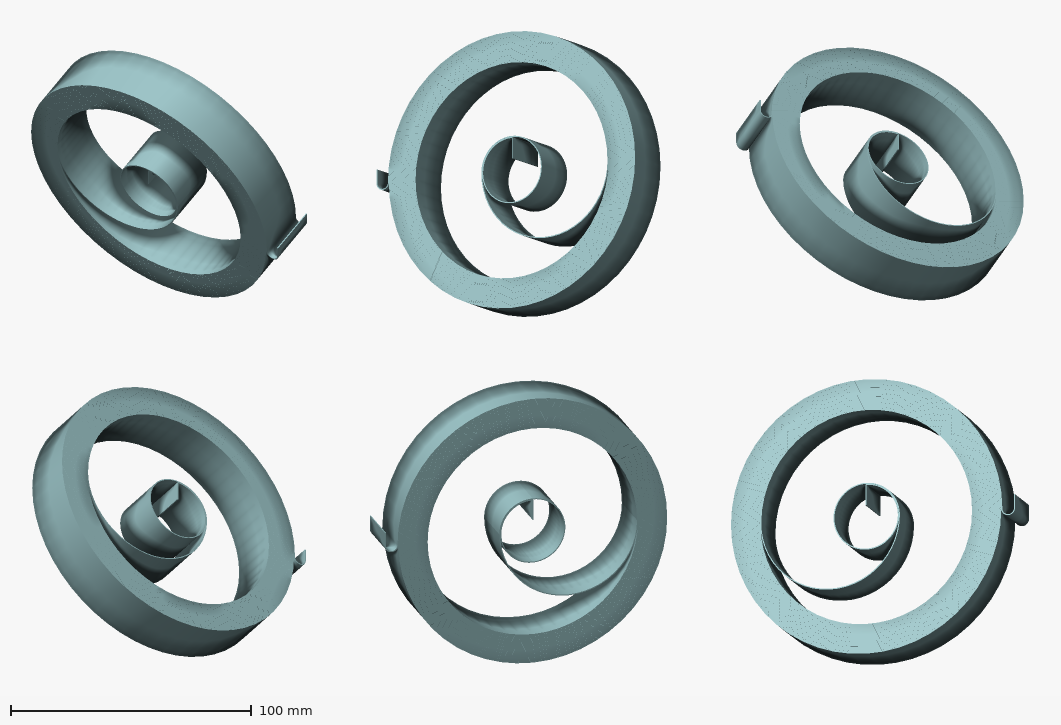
import cadquery as cq
import math

strip_width = 22.0
coil_outer_radius = 58.4
coil_inner_radius = 45.3
coil_layers = 29
layer_gap = 0.006
pitch = (coil_outer_radius - coil_inner_radius) / coil_layers
thickness = pitch - layer_gap

eye_radius = 14.5
tab_length = 9.1
total_length = 122.5
hook_straight = 5.9

LEFT, UP, RIGHT, DOWN = 180, 90, 0, -90


def arc(center_x, center_z, radius, start_angle, sweep):
    """Strip section bent around a centre; radius is that of the strip's middle line, angles in degrees."""
    return center_x, center_z, radius, start_angle, sweep


def half_turn(from_x, to_x, start_angle, sweep):
    """Half circle between two places on the X axis."""
    return arc((from_x + to_x) / 2, 0, abs(to_x - from_x) / 2, start_angle, sweep)


eye_middle = eye_radius - thickness / 2
first_eye_middle = eye_middle - pitch
sections = [
    arc(0, 0, first_eye_middle, UP, -180),
    arc(0, pitch / 2, first_eye_middle + pitch / 2, DOWN, -180),
    arc(0, 0, eye_middle, UP, -90),
]

coil_start = coil_inner_radius + thickness / 2
sections.append(half_turn(eye_middle, -coil_start, RIGHT, -180))

half_turns = 2 * coil_layers - 1
for i in range(half_turns):
    side = -1 if i % 2 == 0 else 1
    from_x = side * (coil_start + i * pitch / 2)
    to_x = -side * (coil_start + (i + 1) * pitch / 2)
    sections.append(half_turn(from_x, to_x, LEFT if side < 0 else RIGHT, -180))

coil_left = -(coil_start + (coil_layers - 1) * pitch)
coil_end = coil_start + half_turns * pitch / 2
hook_end = coil_left + total_length - thickness
sections.append(half_turn(coil_end, hook_end, LEFT, 180))


def edge_point(section, side, fraction):
    """Point on one edge of a section; side is +1 for the left of travel, -1 for the right."""
    center_x, center_z, radius, start_angle, sweep = section
    turn = math.copysign(1, sweep)
    edge_radius = radius - turn * side * thickness / 2
    angle = math.radians(start_angle + fraction * sweep)
    return center_x + edge_radius * math.cos(angle), center_z + edge_radius * math.sin(angle)


outline = cq.Workplane("XZ", origin=(0, strip_width / 2, 0)).moveTo(*edge_point(sections[0], 1, 0))
for section in sections:
    outline = outline.threePointArc(edge_point(section, 1, 0.5), edge_point(section, 1, 1))
outline = outline.line(0, hook_straight).line(thickness, 0).line(0, -hook_straight)
for section in reversed(sections):
    outline = outline.threePointArc(edge_point(section, -1, 0.5), edge_point(section, -1, 0))
tab_drop = tab_length - thickness
outline = outline.line(0, -tab_drop).line(-thickness, 0).line(0, tab_drop).close()

result = outline.extrude(strip_width)